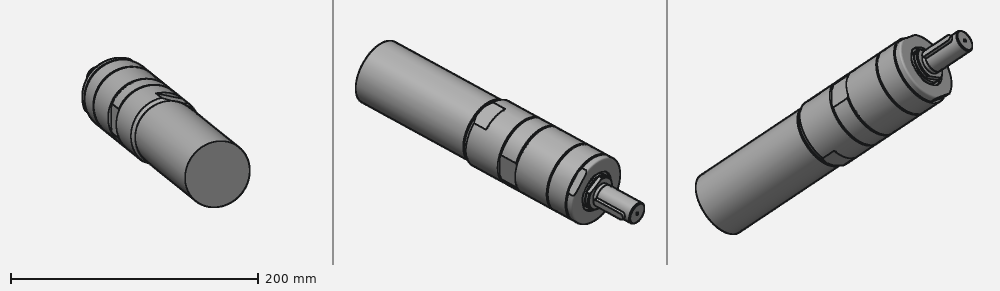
import cadquery as cq


shaft_end_dia = 19.0
shaft_root_dia = 18.7
collar_dia = 29.8
recess_dia = 35.0
body_dia = 60.0
neck_dia = 48.2
motor_dia = 56.0
seat_end_dia = 55.2
center_hole_dia = 1.55
center_mouth_dia = 2.5

shaft_step = 36.0
collar_front = 39.5
collar_back = 43.5
flange_front = 43.8
flange_back = 51.3
stage_joint = 70.8
ring_front = 105.3
ring_back = 124.3
bevel_start = 158.3
bevel_end = 162.0
motor_front = 163.0
motor_back = 278.7

shaft_chamfer = 0.8
collar_chamfer = 0.8
flange_fillet = 1.7
joint_chamfer = 1.5
stage_chamfer = 0.8
recess_depth = 2.5
center_hole_depth = 4.2
center_cone_angle = 60

key_width = 6.0
key_front = 5.0
key_length = 32.0
key_top = 12.0
key_bottom = 5.5

collar_flat = 12.3
collar_flat_tilt = 27
flange_flat = 27.5
ring_flat = 27.3
seat_flat = ring_flat
flange_flat_tilt = 45
ring_flat_tilt = 90
seat_flat_front = 145.5
seat_flat_tilt = 17.5


def cylinder(dia, start, end):
    """Round bar on the X axis between two stations."""
    return cq.Workplane("YZ").workplane(offset=start).circle(dia / 2).extrude(end - start)


def with_flats(body, distance, tilt, start, end):
    """Cut a pair of opposite flats into the body between two stations."""
    cutter_size = body_dia
    length = end - start
    for side in (0, 180):
        cutter = (
            cq.Workplane("XY")
            .box(length, cutter_size, cutter_size, centered=(False, True, False))
            .translate((start, 0, distance))
            .rotate((0, 0, 0), (1, 0, 0), side - tilt)
        )
        body = body.cut(cutter)
    return body


def make_shaft():
    end = cylinder(shaft_end_dia, 0, shaft_step).faces("<X").chamfer(shaft_chamfer)
    end = end.faces("<X").workplane().cskHole(
        center_hole_dia, center_mouth_dia, center_cone_angle, depth=center_hole_depth
    )
    root = cylinder(shaft_root_dia, shaft_step, flange_back)
    return end.union(root)


def make_key():
    middle = key_front + key_length / 2
    return (
        cq.Workplane("XZ")
        .workplane(offset=-key_top)
        .center(middle, 0)
        .slot2D(key_length, key_width)
        .extrude(key_top - key_bottom)
    )


def make_collar():
    collar = cylinder(collar_dia, collar_front, collar_back).faces("<X or >X").chamfer(collar_chamfer)
    collar = with_flats(collar, collar_flat, collar_flat_tilt, collar_front, collar_back)
    return collar.union(cylinder(collar_dia, collar_back, flange_back))


def make_flange():
    flange = cylinder(body_dia, flange_front, flange_back)
    flange = flange.faces("<X").edges().fillet(flange_fillet).faces(">X").chamfer(joint_chamfer)
    flange = with_flats(flange, flange_flat, flange_flat_tilt, flange_front, flange_back)
    return flange.cut(cylinder(recess_dia, flange_front, flange_front + recess_depth))


def make_gear_stages():
    front = cylinder(body_dia, flange_back, stage_joint)
    rear = cylinder(body_dia, stage_joint, ring_front).faces("<X").chamfer(stage_chamfer)
    return front.union(rear)


def make_ring():
    ring = cylinder(body_dia, ring_front, ring_back).faces("<X or >X").chamfer(joint_chamfer)
    return with_flats(ring, ring_flat, ring_flat_tilt, ring_front, ring_back)


def make_motor_seat():
    bevel_height = (body_dia - seat_end_dia) / 2
    seat = cylinder(body_dia, ring_back, bevel_end)
    seat = seat.faces(">X").chamfer(bevel_end - bevel_start, bevel_height)
    return with_flats(seat, seat_flat, seat_flat_tilt, seat_flat_front, bevel_end)


def make_motor():
    neck = cylinder(neck_dia, bevel_end, motor_front)
    return neck.union(cylinder(motor_dia, motor_front, motor_back))


result = (
    make_flange()
    .union(make_collar())
    .union(make_shaft())
    .union(make_key())
    .union(make_gear_stages())
    .union(make_ring())
    .union(make_motor_seat())
    .union(make_motor())
)